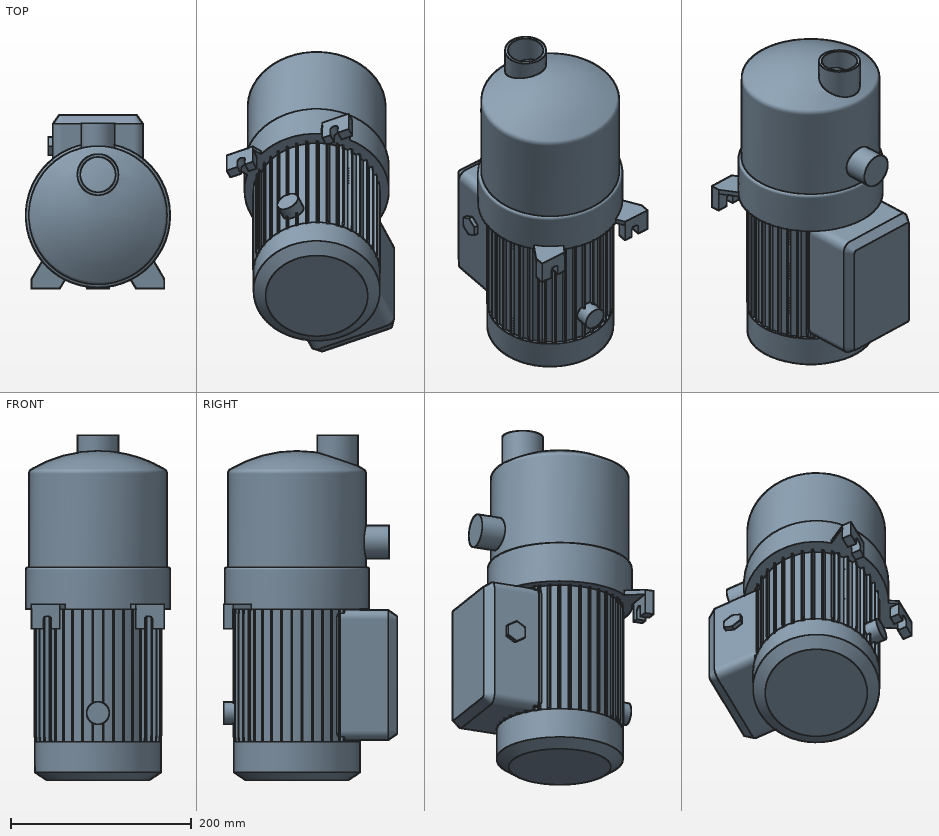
import cadquery as cq
import math


COVER_RADIUS = 70.0
COVER_BASE_RADIUS = 56.5
COVER_TAPER_HEIGHT = 9.0
COVER_TOP = 42.5

FLANGE_RADIUS = 80.0
FLANGE_BOTTOM = 189.5
FLANGE_TOP = 236.0
FLANGE_FILLET = 3.0

FRAME_RADIUS = 66.5
FIN_TIP_RADIUS = 70.5
FIN_THICKNESS = 1.5
FIN_PITCH_ANGLE = 10.0
FINS_PER_SIDE = 10
FIN_END_RADIUS = COVER_RADIUS
FIN_ROOT_OVERLAP = 3.0
FIN_END_LENGTH = 8.0
FRAME_HEIGHT = FLANGE_BOTTOM - COVER_TOP

FOOT_FACE_Y = -81.0
FOOT_OUTER_X = 73.5
FOOT_INNER_X = 42.0
FOOT_BLOCK_DEPTH = 10.5
FOOT_BOTTOM = 167.5
FOOT_TOP = 195.0
FOOT_ROOT_OUTER = (59.0, -46.0)
FOOT_ROOT_INNER = (33.0, -66.0)
FOOT_SLOT_X = 56.0
FOOT_SLOT_WIDTH = 9.0
FOOT_SLOT_TOP = 181.5

PLUG_RADIUS = 12.5
PLUG_HEIGHT_Z = 74.5

BOX_WIDTH = 100.0
BOX_BOTTOM = 44.5
BOX_TOP = 188.5
BOX_FACE_Y = 111.0
BOX_ROOT_Y = 30.0
BOX_CORNER_RADIUS = 10.0
BOX_BEVEL_DEPTH = 10.0
BOX_BEVEL_INSET = 7.0
GLAND_ACROSS_FLATS = 20.5
GLAND_LENGTH = 5.0
GLAND_Y = 76.5
GLAND_Z = 130.0

TANK_RADIUS = 76.5
TANK_TOP = 364.5
DOME_RADIUS = 144.0
TANK_FILLET = 5.5

TOP_PIPE_OUTER_RADIUS = 22.75
TOP_PIPE_INNER_RADIUS = 19.5
TOP_PIPE_Y = 45.0
TOP_PIPE_END_Z = 382.0
SIDE_PIPE_RADIUS = 18.5
SIDE_PIPE_Z = 263.5
SIDE_PIPE_END_Y = 102.0


def fan_cover():
    """Plain drum whose lower edge tapers in to the base."""
    outline = (
        cq.Workplane("XZ")
        .moveTo(0, 0)
        .lineTo(COVER_BASE_RADIUS, 0)
        .lineTo(COVER_RADIUS, COVER_TAPER_HEIGHT)
        .lineTo(COVER_RADIUS, COVER_TOP)
        .lineTo(0, COVER_TOP)
        .close()
    )
    return outline.revolve(360, (0, 0, 0), (0, 1, 0))


def fin_envelope():
    """Barrel that trims the fin tips, slightly narrower at both ends."""
    outline = (
        cq.Workplane("XZ")
        .moveTo(0, COVER_TOP)
        .lineTo(FIN_END_RADIUS, COVER_TOP)
        .lineTo(FIN_TIP_RADIUS, COVER_TOP + FIN_END_LENGTH)
        .lineTo(FIN_TIP_RADIUS, FLANGE_BOTTOM - FIN_END_LENGTH)
        .lineTo(FIN_END_RADIUS, FLANGE_BOTTOM)
        .lineTo(0, FLANGE_BOTTOM)
        .close()
    )
    return outline.revolve(360, (0, 0, 0), (0, 1, 0))


def fin_blank(offset):
    """Untrimmed flat fin on the +X side at Y = offset, starting just inside the frame."""
    root = math.sqrt(FRAME_RADIUS**2 - offset**2) - FIN_ROOT_OVERLAP
    blank = cq.Workplane("XY").box(
        FIN_TIP_RADIUS - root, FIN_THICKNESS, FRAME_HEIGHT, centered=(False, True, False)
    )
    return blank.translate((root, offset, COVER_TOP))


def finned_frame():
    """Round core with thin fins; the fins of each of the four sides run parallel to one another."""
    frame = cq.Workplane("XY", origin=(0, 0, COVER_TOP)).circle(FRAME_RADIUS).extrude(FRAME_HEIGHT)
    envelope = fin_envelope()
    for index in range(FINS_PER_SIDE):
        angle = math.radians((index - (FINS_PER_SIDE - 1) / 2) * FIN_PITCH_ANGLE)
        fin = fin_blank(FRAME_RADIUS * math.sin(angle)).intersect(envelope)
        for quarter in range(4):
            frame = frame.union(fin.rotate((0, 0, 0), (0, 0, 1), 90 * quarter))
    return frame


def flange():
    ring = cq.Workplane("XY", origin=(0, 0, FLANGE_BOTTOM)).circle(FLANGE_RADIUS)
    return ring.extrude(FLANGE_TOP - FLANGE_BOTTOM).faces(">Z").edges().fillet(FLANGE_FILLET)


def foot(side):
    """Slotted block joined to the flange by a flat web; side is -1 or 1 along X."""
    block_back_y = FOOT_FACE_Y + FOOT_BLOCK_DEPTH
    web = (
        cq.Workplane("XY", origin=(0, 0, FLANGE_BOTTOM))
        .moveTo(side * FOOT_INNER_X, FOOT_FACE_Y)
        .lineTo(side * FOOT_OUTER_X, FOOT_FACE_Y)
        .lineTo(side * FOOT_OUTER_X, block_back_y)
        .lineTo(side * FOOT_ROOT_OUTER[0], FOOT_ROOT_OUTER[1])
        .lineTo(side * FOOT_ROOT_INNER[0], FOOT_ROOT_INNER[1])
        .close()
        .extrude(FOOT_TOP - FLANGE_BOTTOM)
    )
    block = cq.Workplane("XY").box(
        FOOT_OUTER_X - FOOT_INNER_X,
        FOOT_BLOCK_DEPTH,
        FOOT_TOP - FOOT_BOTTOM,
        centered=(True, False, False),
    )
    block = block.translate((side * (FOOT_OUTER_X + FOOT_INNER_X) / 2, FOOT_FACE_Y, FOOT_BOTTOM))
    slot_radius = FOOT_SLOT_WIDTH / 2
    slot = (
        cq.Workplane("XZ", origin=(side * FOOT_SLOT_X, block_back_y, 0))
        .moveTo(-slot_radius, FOOT_BOTTOM)
        .lineTo(slot_radius, FOOT_BOTTOM)
        .lineTo(slot_radius, FOOT_SLOT_TOP - slot_radius)
        .threePointArc((0, FOOT_SLOT_TOP), (-slot_radius, FOOT_SLOT_TOP - slot_radius))
        .close()
        .extrude(FOOT_BLOCK_DEPTH)
    )
    return web.union(block.cut(slot))


def drain_plug():
    return cq.Workplane("XZ", origin=(0, 0, PLUG_HEIGHT_Z)).circle(PLUG_RADIUS).extrude(-FOOT_FACE_Y)


def terminal_box():
    """Box with rounded corners, a bevelled cover and a hexagonal gland."""
    height = BOX_TOP - BOX_BOTTOM
    bevel_start_y = BOX_FACE_Y - BOX_BEVEL_DEPTH
    section = cq.Sketch().rect(BOX_WIDTH, height).vertices().fillet(BOX_CORNER_RADIUS)
    middle_z = (BOX_TOP + BOX_BOTTOM) / 2
    body = (
        cq.Workplane("XZ", origin=(0, bevel_start_y, middle_z))
        .placeSketch(section)
        .extrude(bevel_start_y - BOX_ROOT_Y)
    )
    bevel_angle = math.degrees(math.atan2(BOX_BEVEL_INSET, BOX_BEVEL_DEPTH))
    cover = (
        cq.Workplane("XZ", origin=(0, bevel_start_y, middle_z))
        .placeSketch(section)
        .extrude(-BOX_BEVEL_DEPTH, taper=bevel_angle)
    )
    gland = (
        cq.Workplane("YZ", origin=(-BOX_WIDTH / 2, GLAND_Y, GLAND_Z))
        .polygon(6, GLAND_ACROSS_FLATS, circumscribed=True)
        .extrude(-GLAND_LENGTH)
    )
    return body.union(cover).union(gland)


def motor_body():
    body = fan_cover().union(finned_frame()).union(flange())
    for side in (-1, 1):
        body = body.union(foot(side))
    return body.union(drain_plug()).union(terminal_box())


def tank_shell():
    """Upright drum with a spherical dome and a rounded shoulder tangent to both."""
    sphere_center_z = TANK_TOP - DOME_RADIUS
    fillet_center_r = TANK_RADIUS - TANK_FILLET
    fillet_rise = math.sqrt((DOME_RADIUS - TANK_FILLET) ** 2 - fillet_center_r**2)
    reach = DOME_RADIUS / (DOME_RADIUS - TANK_FILLET)
    dome_edge = (fillet_center_r * reach, sphere_center_z + fillet_rise * reach)
    outline = (
        cq.Workplane("XZ")
        .moveTo(0, FLANGE_TOP)
        .lineTo(TANK_RADIUS, FLANGE_TOP)
        .lineTo(TANK_RADIUS, sphere_center_z + fillet_rise)
        .tangentArcPoint(dome_edge, relative=False)
        .tangentArcPoint((0, TANK_TOP), relative=False)
        .close()
    )
    return outline.revolve(360, (0, 0, 0), (0, 1, 0))


def top_pipe():
    """Open tube whose bore ends on the dome."""
    root_z = (FLANGE_TOP + TANK_TOP) / 2
    return (
        cq.Workplane("XY", origin=(0, TOP_PIPE_Y, root_z))
        .circle(TOP_PIPE_OUTER_RADIUS)
        .circle(TOP_PIPE_INNER_RADIUS)
        .extrude(TOP_PIPE_END_Z - root_z)
    )


def side_pipe():
    return (
        cq.Workplane("XZ", origin=(0, 0, SIDE_PIPE_Z))
        .circle(SIDE_PIPE_RADIUS)
        .extrude(-SIDE_PIPE_END_Y)
    )


motor = motor_body()
tank = tank_shell().union(top_pipe()).union(side_pipe())
result = cq.Compound.makeCompound([motor.val(), tank.val()])